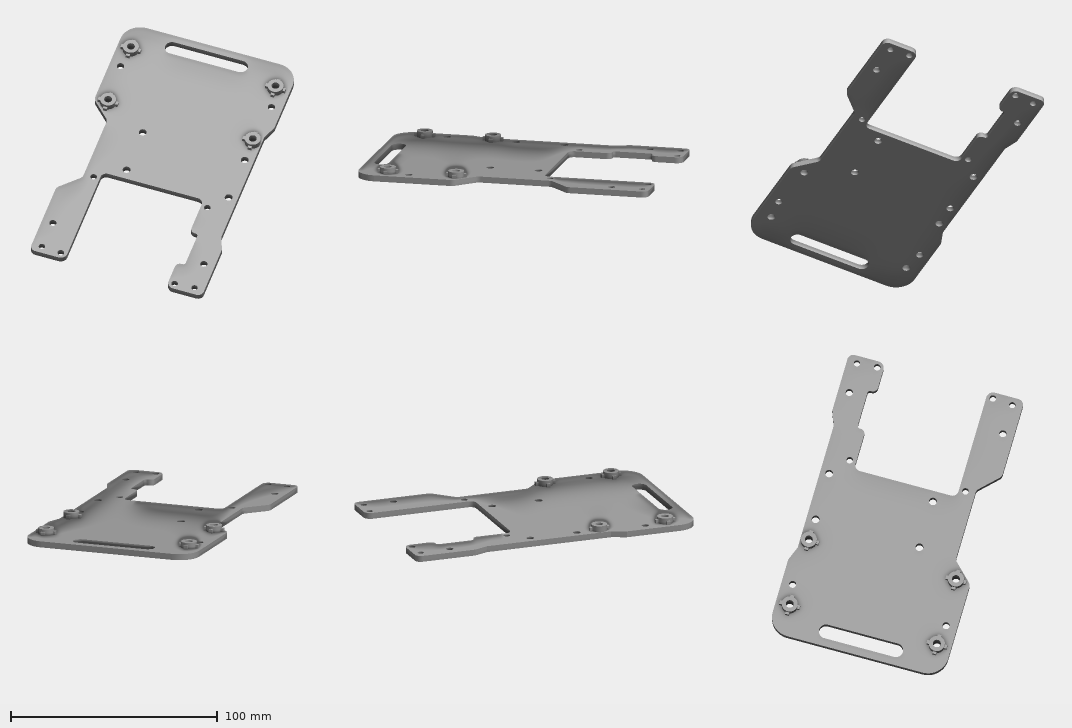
import cadquery as cq

PLATE_LENGTH = 146.0
PLATE_WIDTH = 88.0
TOTAL_HEIGHT = 6.0
PLATE_THICKNESS = TOTAL_HEIGHT / 2
TOP_Y = PLATE_LENGTH / 2
SIDE_X = PLATE_WIDTH / 2

REAR_CORNER_RADIUS = 10.1
CORNER_RADIUS = 2.9
LEG_INNER_RADIUS = 3.4
LEFT_WAIST_RADIUS = 3.4
LEFT_WAIST_DEPTH = 10.1
LEFT_WAIST_TOP = 13.7
LEFT_WAIST_BOTTOM = -22.9
RIGHT_WAIST_DEPTH = 2.8
RIGHT_WAIST_SLOPE_LENGTH = 7.2
RIGHT_WAIST_TOP = 28.3
RIGHT_WAIST_BOTTOM = -35.8
OPENING_WIDTH = 51.7
OPENING_TOP = -17.1

NOTCH_DEPTH = 4.2
NOTCH_TOP = -37.8
NOTCH_BOTTOM = -57.5
NOTCH_OUTER_RADIUS = 2.5
NOTCH_INNER_RADIUS = 1.3

SLOT_LENGTH = 42.0
SLOT_WIDTH = 7.0
SLOT_X = -1.0
SLOT_Y = 65.5

BOSS_DIAMETER = 7.7
BOSS_X = 37.0
BOSS_REAR_Y = 57.8
BOSS_FRONT_Y = 23.8
BOSS_HOLE_DIAMETER = 3.8
TAB_SPAN = 10.1
TAB_WIDTH = 1.9
TAB_HEIGHT = 1.8

HOLE_GROUPS = [
    (BOSS_HOLE_DIAMETER, (-BOSS_X, BOSS_X), (BOSS_REAR_Y, BOSS_FRONT_Y)),
    (3.8, (-15.3, 36.8), (12.3, -11.8)),
    (3.5, (-38.5, 38.5), (47.0, -54.0)),
    (3.2, (-29.0, 29.0), (-21.0, -70.0)),
    (3.0, (-39.0, 39.0), (-69.2,)),
]


def make_plate():
    """Flat plate with waisted sides and two legs."""
    left_waist_x = -SIDE_X + LEFT_WAIST_DEPTH
    right_waist_x = SIDE_X - RIGHT_WAIST_DEPTH
    opening_x = OPENING_WIDTH / 2
    notch_x = opening_x + NOTCH_DEPTH

    corners = [
        (-SIDE_X, TOP_Y, REAR_CORNER_RADIUS),
        (SIDE_X, TOP_Y, REAR_CORNER_RADIUS),
        (SIDE_X, RIGHT_WAIST_TOP + RIGHT_WAIST_SLOPE_LENGTH, 0),
        (right_waist_x, RIGHT_WAIST_TOP, 0),
        (right_waist_x, RIGHT_WAIST_BOTTOM, 0),
        (SIDE_X, RIGHT_WAIST_BOTTOM - RIGHT_WAIST_SLOPE_LENGTH, 0),
        (SIDE_X, -TOP_Y, CORNER_RADIUS),
        (opening_x, -TOP_Y, LEG_INNER_RADIUS),
        (opening_x, NOTCH_BOTTOM, NOTCH_OUTER_RADIUS),
        (notch_x, NOTCH_BOTTOM, NOTCH_INNER_RADIUS),
        (notch_x, NOTCH_TOP, NOTCH_INNER_RADIUS),
        (opening_x, NOTCH_TOP, NOTCH_OUTER_RADIUS),
        (opening_x, OPENING_TOP, CORNER_RADIUS),
        (-opening_x, OPENING_TOP, CORNER_RADIUS),
        (-opening_x, -TOP_Y, LEG_INNER_RADIUS),
        (-SIDE_X, -TOP_Y, CORNER_RADIUS),
        (-SIDE_X, LEFT_WAIST_BOTTOM - LEFT_WAIST_DEPTH, LEFT_WAIST_RADIUS),
        (left_waist_x, LEFT_WAIST_BOTTOM, LEFT_WAIST_RADIUS),
        (left_waist_x, LEFT_WAIST_TOP, LEFT_WAIST_RADIUS),
        (-SIDE_X, LEFT_WAIST_TOP + LEFT_WAIST_DEPTH, LEFT_WAIST_RADIUS),
    ]
    outline = [(x, y) for x, y, _ in corners]
    plate = cq.Workplane("XY").polyline(outline).close().extrude(PLATE_THICKNESS)
    for x, y, radius in corners:
        if radius:
            corner_edge = cq.selectors.NearestToPointSelector((x, y, PLATE_THICKNESS / 2))
            plate = plate.edges("|Z").edges(corner_edge).fillet(radius)
    return plate


def make_boss(x, y, has_right_tab):
    """Round boss standing on the plate, with tabs along X and Y at its foot."""
    base = cq.Workplane("XY", origin=(x, y, PLATE_THICKNESS))
    boss = base.circle(BOSS_DIAMETER / 2).extrude(TOTAL_HEIGHT - PLATE_THICKNESS)
    y_tabs = base.rect(TAB_WIDTH, TAB_SPAN).extrude(TAB_HEIGHT)
    left_tab = base.center(-TAB_SPAN / 4, 0).rect(TAB_SPAN / 2, TAB_WIDTH).extrude(TAB_HEIGHT)
    boss = boss.union(y_tabs).union(left_tab)
    if has_right_tab:
        right_tab = base.center(TAB_SPAN / 4, 0).rect(TAB_SPAN / 2, TAB_WIDTH).extrude(TAB_HEIGHT)
        boss = boss.union(right_tab)
    return boss


def make_slot():
    slot = cq.Workplane("XY").center(SLOT_X, SLOT_Y).slot2D(SLOT_LENGTH, SLOT_WIDTH)
    return slot.extrude(PLATE_THICKNESS)


def make_holes(diameter, x_positions, y_positions):
    centres = [(x, y) for x in x_positions for y in y_positions]
    return cq.Workplane("XY").pushPoints(centres).circle(diameter / 2).extrude(TOTAL_HEIGHT)


result = make_plate().cut(make_slot())

for boss_x in (-BOSS_X, BOSS_X):
    for boss_y in (BOSS_REAR_Y, BOSS_FRONT_Y):
        at_waist = boss_x > 0 and boss_y == BOSS_FRONT_Y
        result = result.union(make_boss(boss_x, boss_y, not at_waist))

for hole_diameter, hole_xs, hole_ys in HOLE_GROUPS:
    result = result.cut(make_holes(hole_diameter, hole_xs, hole_ys))